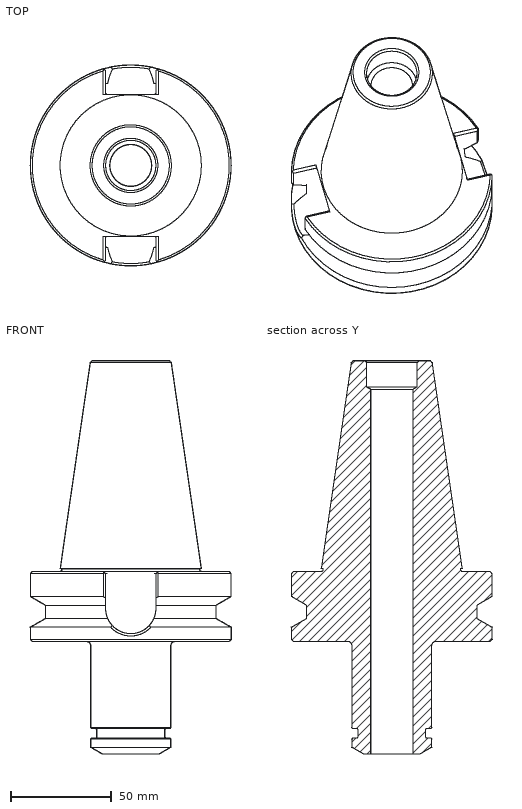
import cadquery as cq
import math

TAPER_RATIO = 7 / 24
GAUGE_DIAMETER = 69.85
TAPER_TOP = 101.8
TAPER_BOTTOM = -1.5
TOP_CHAMFER = 1.0

RELIEF_DIAMETER = 68.6
RELIEF_STEP = 0.3
RELIEF_FILLET = 1.0

FLANGE_DIAMETER = 100.0
FLANGE_TOP = -3.0
FLANGE_BOTTOM = -38.0
FLANGE_CHAMFER = 1.0
GROOVE_DIAMETER = 85.0
GROOVE_CENTER = -23.2
GROOVE_FLOOR_WIDTH = 6.5
GROOVE_ANGLE = 30.0

SHANK_DIAMETER = 40.0
SHANK_BOTTOM = -94.0
SHANK_FILLET = 2.0
TIP_DIAMETER = 28.0
TIP_ANGLE = 30.0
RING_GROOVE_DIAMETER = 34.0
RING_GROOVE_TOP = -81.3
RING_GROOVE_WIDTH = 4.6
RING_GROOVE_CHAMFER = 0.5
RING_GROOVE_FILLET = 0.5

BORE_DIAMETER = 20.7
COUNTERBORE_DIAMETER = 25.0
COUNTERBORE_DEPTH = 13.0
STEP_ANGLE = 30.0
BORE_CHAMFER = 1.0

SLOT_WIDTH = 25.0
SLOT_FLOOR = 35.4
SLOT_BOTTOM = -34.0
SLOT_CHAMFER = 1.2
SLOT_FLOOR_FILLET = 0.6

SLOT_RADIUS = SLOT_WIDTH / 2
FLANGE_RADIUS = FLANGE_DIAMETER / 2
SHANK_RADIUS = SHANK_DIAMETER / 2
AXIS_START = (0, 0, 0)
AXIS_END = (0, 1, 0)


def taper_radius(z):
    return (GAUGE_DIAMETER - z * TAPER_RATIO) / 2


def revolve_profile(profile):
    return profile.close().revolve(360, AXIS_START, AXIS_END)


def make_taper():
    top_edge = TAPER_TOP - TOP_CHAMFER
    relief_r = RELIEF_DIAMETER / 2
    return revolve_profile(
        cq.Workplane("XZ")
        .moveTo(0, TAPER_TOP)
        .lineTo(taper_radius(top_edge) - TOP_CHAMFER, TAPER_TOP)
        .lineTo(taper_radius(top_edge), top_edge)
        .lineTo(taper_radius(TAPER_BOTTOM), TAPER_BOTTOM)
        .lineTo(relief_r, TAPER_BOTTOM - RELIEF_STEP)
        .lineTo(relief_r, FLANGE_TOP + RELIEF_FILLET)
        .radiusArc((relief_r + RELIEF_FILLET, FLANGE_TOP), -RELIEF_FILLET)
        .lineTo(0, FLANGE_TOP)
    )


def make_flange_blank():
    return (
        cq.Workplane("XY", origin=(0, 0, FLANGE_BOTTOM))
        .circle(FLANGE_RADIUS)
        .extrude(FLANGE_TOP - FLANGE_BOTTOM)
    )


def make_slot():
    center = SLOT_BOTTOM + SLOT_RADIUS
    floor_plane = cq.Workplane("XZ", origin=(0, -SLOT_FLOOR, 0))
    slot = (
        floor_plane
        .moveTo(-SLOT_RADIUS, 0)
        .lineTo(-SLOT_RADIUS, center)
        .threePointArc((0, SLOT_BOTTOM), (SLOT_RADIUS, center))
        .lineTo(SLOT_RADIUS, 0)
        .close()
        .extrude(FLANGE_RADIUS)
    )
    return slot.faces(">Y").edges("not >Z").fillet(SLOT_FLOOR_FILLET)


def make_slot_mouth():
    """Wedge-sided cut that breaks the two straight slot edges in the flange top face."""
    mouth_half = SLOT_RADIUS + SLOT_CHAMFER
    return (
        cq.Workplane("XZ", origin=(0, -SLOT_FLOOR, 0))
        .moveTo(-mouth_half, FLANGE_TOP)
        .lineTo(mouth_half, FLANGE_TOP)
        .lineTo(SLOT_RADIUS, FLANGE_TOP - SLOT_CHAMFER)
        .lineTo(-SLOT_RADIUS, FLANGE_TOP - SLOT_CHAMFER)
        .close()
        .extrude(FLANGE_RADIUS)
    )


def make_v_groove():
    groove_r = GROOVE_DIAMETER / 2
    half_floor = GROOVE_FLOOR_WIDTH / 2
    groove_slope = math.tan(math.radians(GROOVE_ANGLE))
    half_mouth = half_floor + (FLANGE_RADIUS - groove_r) * groove_slope
    return revolve_profile(
        cq.Workplane("XZ")
        .moveTo(FLANGE_RADIUS, GROOVE_CENTER + half_mouth)
        .lineTo(groove_r, GROOVE_CENTER + half_floor)
        .lineTo(groove_r, GROOVE_CENTER - half_floor)
        .lineTo(FLANGE_RADIUS, GROOVE_CENTER - half_mouth)
    )


def make_rim_chamfer(face_z, corner_z):
    """Ring of triangular section between a flange face and the outer cylinder."""
    return revolve_profile(
        cq.Workplane("XZ")
        .moveTo(FLANGE_RADIUS - FLANGE_CHAMFER, face_z)
        .lineTo(FLANGE_RADIUS, face_z)
        .lineTo(FLANGE_RADIUS, corner_z)
    )


def make_shank():
    ring_r = RING_GROOVE_DIAMETER / 2
    tip_r = TIP_DIAMETER / 2
    tip_height = (SHANK_RADIUS - tip_r) * math.tan(math.radians(TIP_ANGLE))
    ring_bottom = RING_GROOVE_TOP - RING_GROOVE_WIDTH
    lip_r = SHANK_RADIUS - RING_GROOVE_CHAMFER
    root_r = ring_r + RING_GROOVE_FILLET
    return revolve_profile(
        cq.Workplane("XZ")
        .moveTo(0, FLANGE_BOTTOM)
        .lineTo(SHANK_RADIUS + SHANK_FILLET, FLANGE_BOTTOM)
        .radiusArc((SHANK_RADIUS, FLANGE_BOTTOM - SHANK_FILLET), -SHANK_FILLET)
        .lineTo(SHANK_RADIUS, RING_GROOVE_TOP + RING_GROOVE_CHAMFER)
        .lineTo(lip_r, RING_GROOVE_TOP)
        .lineTo(root_r, RING_GROOVE_TOP)
        .radiusArc((ring_r, RING_GROOVE_TOP - RING_GROOVE_FILLET), -RING_GROOVE_FILLET)
        .lineTo(ring_r, ring_bottom + RING_GROOVE_FILLET)
        .radiusArc((root_r, ring_bottom), -RING_GROOVE_FILLET)
        .lineTo(lip_r, ring_bottom)
        .lineTo(SHANK_RADIUS, ring_bottom - RING_GROOVE_CHAMFER)
        .lineTo(SHANK_RADIUS, SHANK_BOTTOM + tip_height)
        .lineTo(tip_r, SHANK_BOTTOM)
        .lineTo(0, SHANK_BOTTOM)
    )


def make_bore():
    bore_r = BORE_DIAMETER / 2
    counterbore_r = COUNTERBORE_DIAMETER / 2
    step_top = TAPER_TOP - COUNTERBORE_DEPTH
    step_height = (counterbore_r - bore_r) * math.tan(math.radians(STEP_ANGLE))
    return revolve_profile(
        cq.Workplane("XZ")
        .moveTo(0, TAPER_TOP)
        .lineTo(counterbore_r + BORE_CHAMFER, TAPER_TOP)
        .lineTo(counterbore_r, TAPER_TOP - BORE_CHAMFER)
        .lineTo(counterbore_r, step_top)
        .lineTo(bore_r, step_top - step_height)
        .lineTo(bore_r, SHANK_BOTTOM)
        .lineTo(0, SHANK_BOTTOM)
    )


def slot_rim_edges(side):
    """Select the U-shaped slot edge on the outer cylinder, on the +Y (1) or -Y (-1) side."""
    near_y = side * (FLANGE_RADIUS + SLOT_FLOOR) / 2
    far_y = side * FLANGE_RADIUS
    return cq.selectors.BoxSelector(
        (-SLOT_WIDTH, near_y, FLANGE_BOTTOM + FLANGE_CHAMFER),
        (SLOT_WIDTH, far_y, FLANGE_TOP - FLANGE_CHAMFER),
    )


def cut_on_both_sides(body, tool):
    opposite = tool.rotate((0, 0, 0), (0, 0, 1), 180)
    return body.cut(tool).cut(opposite)


def make_flange():
    flange = cut_on_both_sides(make_flange_blank(), make_slot())
    flange = flange.edges(slot_rim_edges(1) + slot_rim_edges(-1)).chamfer(SLOT_CHAMFER)
    flange = cut_on_both_sides(flange, make_slot_mouth())
    flange = flange.cut(make_v_groove())
    flange = flange.cut(make_rim_chamfer(FLANGE_TOP, FLANGE_TOP - FLANGE_CHAMFER))
    return flange.cut(make_rim_chamfer(FLANGE_BOTTOM, FLANGE_BOTTOM + FLANGE_CHAMFER))


result = make_taper().union(make_flange()).union(make_shank()).cut(make_bore())